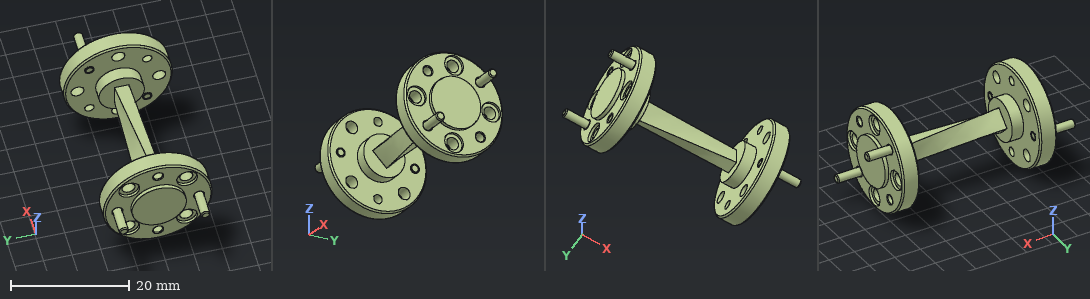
import cadquery as cq
import math

half_length = 15.88
pin_tip_x = 19.75

flange_diameter = 19.05
flange_thickness = 3.35
flange_chamfer = 0.3
boss_diameter = 9.5
boss_height = 0.7
sleeve_diameter = 7.95
sleeve_length = 2.25

tube_width = 2.53
tube_height = 3.85
twist_angle = 45

bolt_circle_radius = 7.15
holes_per_kind = 4
hole_spacing_angle = 360 / holes_per_kind
screw_hole_diameter = 2.25
counterbore_diameter = 3.6
counterbore_depth = 0.5
dowel_hole_diameter = 1.6
dowel_hole_chamfer = 0.15

pin_diameter = dowel_hole_diameter
pin_end_chamfer = 0.2

outer_face_x = half_length - boss_height
inner_face_x = outer_face_x - flange_thickness
sleeve_end_x = inner_face_x - sleeve_length
pin_length = pin_tip_x - inner_face_x

left_pin_angle = 0
right_pin_angle = 45
half_turn = 180


def disc(diameter, start_x, length):
    """Cylinder on the X axis running from start_x towards +X."""
    return cq.Workplane("YZ", origin=(start_x, 0, 0)).circle(diameter / 2).extrude(length)


def on_bolt_circle(shape, angle):
    """Move a shape lying on the X axis to an angle on the bolt circle."""
    turn = math.radians(angle)
    return shape.translate((0, bolt_circle_radius * math.cos(turn), bolt_circle_radius * math.sin(turn)))


def screw_hole():
    """Through hole with a shallow counterbore in the outer face."""
    hole = disc(screw_hole_diameter, inner_face_x, flange_thickness)
    counterbore = disc(counterbore_diameter, outer_face_x - counterbore_depth, counterbore_depth)
    return hole.union(counterbore)


def dowel_hole():
    """Through hole with a chamfered mouth in the outer face."""
    hole = disc(dowel_hole_diameter, inner_face_x, flange_thickness)
    mouth_diameter = dowel_hole_diameter + 2 * dowel_hole_chamfer
    mouth = cq.Solid.makeCone(
        dowel_hole_diameter / 2,
        mouth_diameter / 2,
        dowel_hole_chamfer,
        pnt=cq.Vector(outer_face_x - dowel_hole_chamfer, 0, 0),
        dir=cq.Vector(1, 0, 0),
    )
    return hole.union(cq.Workplane(mouth))


def flange(first_dowel_angle):
    """Flange at the +X end with its boss, sleeve and holes."""
    body = disc(flange_diameter, inner_face_x, flange_thickness).edges().chamfer(flange_chamfer)
    body = body.union(disc(boss_diameter, outer_face_x, boss_height))
    body = body.union(disc(sleeve_diameter, sleeve_end_x, sleeve_length))
    for step in range(holes_per_kind):
        dowel_angle = first_dowel_angle + step * hole_spacing_angle
        body = body.cut(on_bolt_circle(dowel_hole(), dowel_angle))
        body = body.cut(on_bolt_circle(screw_hole(), dowel_angle + hole_spacing_angle / 2))
    return body


def twisted_tube():
    """Rectangular bar that turns by the twist angle between the sleeves."""
    return (
        cq.Workplane("YZ", origin=(-sleeve_end_x, 0, 0))
        .transformed(rotate=(0, 0, twist_angle))
        .rect(tube_width, tube_height)
        .transformed(rotate=(0, 0, -twist_angle), offset=(0, 0, 2 * sleeve_end_x))
        .rect(tube_width, tube_height)
        .loft(ruled=True)
    )


def waveguide():
    """Both flanges joined by the twisted tube."""
    left_flange = flange(left_pin_angle).mirror("YZ")
    right_flange = flange(right_pin_angle)
    return left_flange.union(twisted_tube()).union(right_flange)


def dowel_pin(angle):
    """Pin at the +X end, flush with the flange's inner face and chamfered at both ends."""
    pin = disc(pin_diameter, inner_face_x, pin_length).edges().chamfer(pin_end_chamfer)
    return on_bolt_circle(pin, angle)


housing = waveguide()

pins = []
for side in (0, half_turn):
    left_pin = dowel_pin(left_pin_angle + side).mirror("YZ")
    right_pin = dowel_pin(right_pin_angle + side)
    pins += [left_pin.val(), right_pin.val()]

result = cq.Compound.makeCompound([housing.val(), *pins])